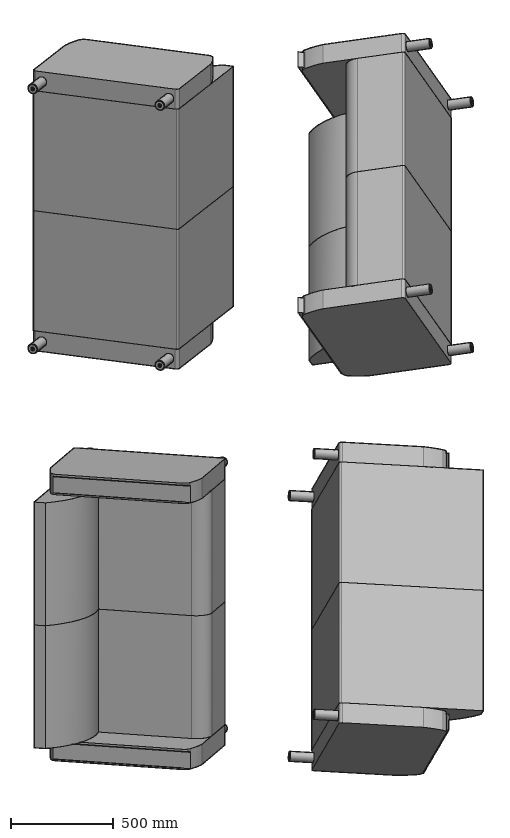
import cadquery as cq

depth = 766.0
height = 830.0
width = 1437.0

front_x = -depth / 2
back_x = depth / 2

leg_diameter = 50.0
leg_length = 120.0
leg_inset = 49.0
leg_tip_chamfer = 3.0
leg_recess_diameter = 19.0
leg_recess_depth = 10.0
leg_hole_diameter = 7.9
leg_hole_depth = 29.0

floor_y = -height / 2
base_y = floor_y + leg_length
leg_x = depth / 2 - leg_inset

arm_width = 102.0
arm_height = 540.0
arm_corner_inset = 40.0
arm_corner_drop = 124.0
arm_top_fillet = 40.0
arm_bottom_fillet = 16.0

arm_top_y = base_y + arm_height
arm_shoulder_y = arm_top_y - arm_corner_drop
arm_center_z = (width - arm_width) / 2

cap_thickness = 10.0
cap_side_inset = 10.0
cap_front_inset = 20.0
cap_back_inset = 49.0
cap_lip_drop = 16.0
cap_lip_setback = 15.0

cap_width = arm_width - 2 * cap_side_inset
cap_top_y = arm_top_y + cap_thickness

seat_height = 320.0
seat_front_fillet = 80.0
seat_bottom_fillet = 10.0
backrest_top_thickness = 57.0
backrest_seat_thickness = 214.0

seat_width = width / 2 - arm_width
seat_top_y = base_y + seat_height
backrest_top_y = height / 2

large_radius = 410.0


def extrude_centered(profile, length, center_z):
    """Extrude an XY profile along Z, half to each side of center_z."""
    return profile.extrude(length / 2, both=True).translate((0, 0, center_z))


def make_arm(center_z):
    """Side panel with bowed front and back shoulders."""
    top_front_x = front_x + arm_corner_inset
    top_back_x = back_x - arm_corner_inset
    profile = (
        cq.Workplane("XY")
        .moveTo(front_x, base_y)
        .lineTo(front_x, arm_shoulder_y)
        .radiusArc((top_front_x, arm_top_y), large_radius)
        .lineTo(top_back_x, arm_top_y)
        .radiusArc((back_x, arm_shoulder_y), large_radius)
        .lineTo(back_x, base_y)
        .close()
    )
    arm = extrude_centered(profile, arm_width, center_z)
    arm = arm.faces(">Y").edges("|Z").fillet(arm_top_fillet)
    return arm.faces("<Y").edges("|Z").fillet(arm_bottom_fillet)


def make_cap(arm, center_z):
    """Flat cap on an arm, with a slanted lip in front that rests on the rounded arm edge."""
    tip_x = front_x + cap_front_inset
    lip_x = tip_x + cap_lip_setback
    lip_y = arm_top_y - cap_lip_drop
    end_x = back_x - cap_back_inset
    profile = (
        cq.Workplane("XY")
        .moveTo(tip_x, cap_top_y)
        .lineTo(end_x, cap_top_y)
        .lineTo(end_x, arm_top_y)
        .lineTo(lip_x + arm_top_fillet, lip_y)
        .lineTo(lip_x, lip_y)
        .close()
    )
    return extrude_centered(profile, cap_width, center_z).cut(arm)


def make_seat(center_z):
    """Seat block with a rounded front edge and a backrest with a bowed front face."""
    profile = (
        cq.Workplane("XY")
        .moveTo(front_x, base_y)
        .lineTo(front_x, seat_top_y - seat_front_fillet)
        .radiusArc((front_x + seat_front_fillet, seat_top_y), seat_front_fillet)
        .lineTo(back_x - backrest_seat_thickness, seat_top_y)
        .radiusArc((back_x - backrest_top_thickness, backrest_top_y), large_radius)
        .lineTo(back_x, backrest_top_y)
        .lineTo(back_x, base_y)
        .close()
    )
    seat = extrude_centered(profile, seat_width, center_z)
    return seat.faces("<Y").edges("|Z").fillet(seat_bottom_fillet)


def make_leg(x, z):
    """Round leg under an arm, with a stepped hole in its foot."""
    foot = cq.Workplane(cq.Plane(origin=(x, floor_y, z), xDir=(1, 0, 0), normal=(0, 1, 0)))
    leg = foot.circle(leg_diameter / 2).extrude(leg_length)
    leg = leg.faces("<Y").chamfer(leg_tip_chamfer)
    recess = foot.circle(leg_recess_diameter / 2).extrude(leg_recess_depth)
    hole = foot.circle(leg_hole_diameter / 2).extrude(leg_hole_depth)
    return leg.cut(recess).cut(hole)


arms = []
caps = []
seats = []
legs = []
for side in (-1, 1):
    side_z = side * arm_center_z
    arm = make_arm(side_z)
    arms.append(arm.val())
    caps.append(make_cap(arm, side_z).val())
    seats.append(make_seat(side * seat_width / 2).val())
    for end in (-1, 1):
        legs.append(make_leg(end * leg_x, side_z).val())

result = cq.Compound.makeCompound([*arms, *caps, *seats, *legs])